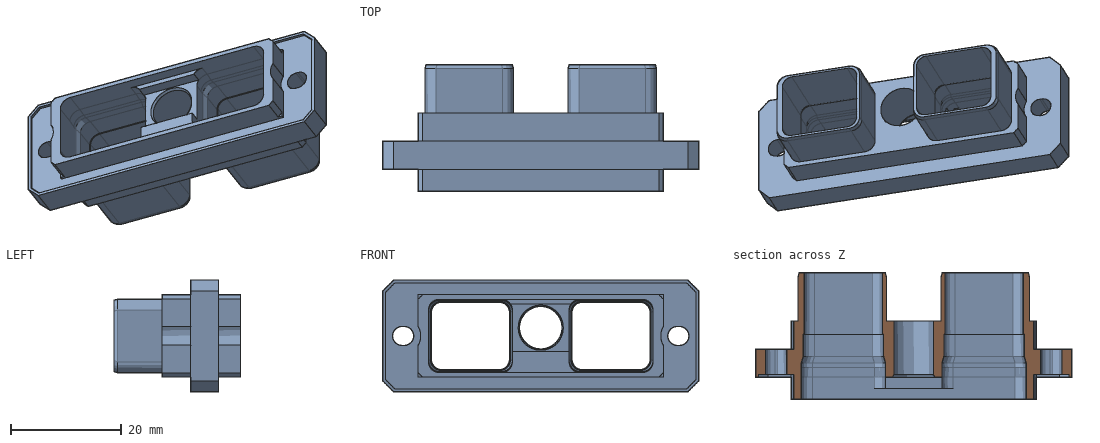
import cadquery as cq
import math

total_depth = 23.03
body_depth = 14.25

flange_length = 57.45
flange_height = 20.33
flange_front = 4.0
flange_back = 9.1
flange_corner = 2.0
rim_width = 0.53
rim_depth = 0.5

screw_spacing = 50.0
slot_length = 3.8
slot_width = 3.4
screw_clearance_radius = 3.2

body_length = 44.55
body_height = 15.0
body_corner = 0.8

plug_offset = 13.0
plug_length = 16.1
plug_height = 13.4
plug_radius = 2.0
plug_lead_depth = 0.7
plug_lead_inset = 0.2

cavity_length = 40.8
cavity_height = 13.32
cavity_radius = 2.0
block_width = 10.3
block_front = 2.0
window_length = (cavity_length - block_width) / 2
window_offset = (cavity_length + block_width) / 4

first_taper_start = 4.1
first_taper_end = 5.8
second_taper_start = 6.6
second_taper_end = 7.8
neck_height = 12.95
throat_length = 14.55
throat_height = 12.6

lip_front = 11.8
lip_width = 0.2
lip_radius = 1.8

recess_bottom = -2.85
recess_top = 5.8
recess_back = 4.0
hole_height = 1.5
hole_radius = 3.85
hole_lead_radius = 4.1
hole_lead_depth = 0.5


def plane_at(depth, x=0, z=0):
    """XZ plane at a depth, facing the front (-Y); negative extrusions run toward +Y."""
    return cq.Workplane(cq.Plane(origin=(x, depth, z), xDir=(1, 0, 0), normal=(0, -1, 0)))


def block(length, height, front, back, x=0, z=0):
    """Box centred on (x, z), running from the front depth to the back depth."""
    return plane_at(front, x, z).rect(length, height).extrude(front - back)


def rounded_block(length, height, radius, front, back, x=0):
    return block(length, height, front, back, x).edges("|Y").fillet(radius)


def chamfered_block(length, height, corner, front, back):
    return block(length, height, front, back).edges("|Y").chamfer(corner)


def cylinder(radius, front, back, x=0, z=0):
    return plane_at(front, x, z).circle(radius).extrude(front - back)


def rounded_section(length, height, radius):
    return cq.Sketch().rect(length, height).vertices().fillet(radius)


def rounded_taper(x, front, front_size, back, back_size, radius):
    """Rounded rectangle blending from its front size to its back size."""
    front_section = rounded_section(*front_size, radius)
    back_section = rounded_section(*back_size, radius).moved(cq.Location(cq.Vector(0, 0, front - back)))
    return plane_at(front, x).placeSketch(front_section, back_section).loft()


def make_flange():
    flange = chamfered_block(flange_length, flange_height, flange_corner, flange_front, flange_back)
    inner_corner = flange_corner - rim_width * (2 - math.sqrt(2))
    rim_opening = chamfered_block(
        flange_length - 2 * rim_width,
        flange_height - 2 * rim_width,
        inner_corner,
        flange_front,
        flange_front + rim_depth,
    )
    flange = flange.cut(rim_opening)
    for side in (-1, 1):
        slot = (
            plane_at(flange_front, side * screw_spacing / 2)
            .slot2D(slot_length, slot_width)
            .extrude(flange_front - flange_back)
        )
        flange = flange.cut(slot)
    return flange


def make_body():
    body = chamfered_block(body_length, body_height, body_corner, 0, body_depth)
    foot = block(body_length, body_height, flange_front, flange_front + rim_depth)
    body = body.union(foot)
    for side in (-1, 1):
        x = side * screw_spacing / 2
        body = body.cut(cylinder(screw_clearance_radius, 0, flange_front + rim_depth, x))
        body = body.cut(cylinder(screw_clearance_radius, flange_back, body_depth, x))
    return body


def make_plug(x):
    lead_start = total_depth - plug_lead_depth
    plug_size = (plug_length, plug_height)
    end_size = (plug_length - 2 * plug_lead_inset, plug_height - 2 * plug_lead_inset)
    plug = rounded_block(*plug_size, plug_radius, flange_back, lead_start, x)
    return plug.union(rounded_taper(x, lead_start, plug_size, total_depth, end_size, plug_radius))


def make_window(x):
    mouth = (window_length, cavity_height)
    neck = (window_length, neck_height)
    throat = (throat_length, throat_height)
    window = rounded_block(*mouth, cavity_radius, 0, first_taper_start, x)
    window = window.union(rounded_taper(x, first_taper_start, mouth, first_taper_end, neck, cavity_radius))
    window = window.union(rounded_block(*neck, cavity_radius, first_taper_end, second_taper_start, x))
    window = window.union(rounded_taper(x, second_taper_start, neck, second_taper_end, throat, cavity_radius))
    window = window.union(rounded_block(*throat, cavity_radius, second_taper_end, lip_front, x))
    opening = (throat_length - 2 * lip_width, throat_height - 2 * lip_width)
    return window.union(rounded_block(*opening, lip_radius, lip_front, total_depth, x))


def make_block_recess():
    height = recess_top - recess_bottom
    middle = (recess_top + recess_bottom) / 2
    return block(2 * window_offset, height, block_front, recess_back, z=middle)


def make_hole():
    lead = cq.Solid.makeCone(
        hole_lead_radius,
        hole_radius,
        hole_lead_depth,
        pnt=cq.Vector(0, recess_back, hole_height),
        dir=cq.Vector(0, 1, 0),
    )
    return cylinder(hole_radius, recess_back, body_depth, z=hole_height).union(cq.Workplane(lead))


part = make_body().union(make_flange())
for side in (-1, 1):
    part = part.union(make_plug(side * plug_offset))
part = part.cut(rounded_block(cavity_length, cavity_height, cavity_radius, 0, block_front))
for side in (-1, 1):
    part = part.cut(make_window(side * window_offset))
result = part.cut(make_block_recess()).cut(make_hole())